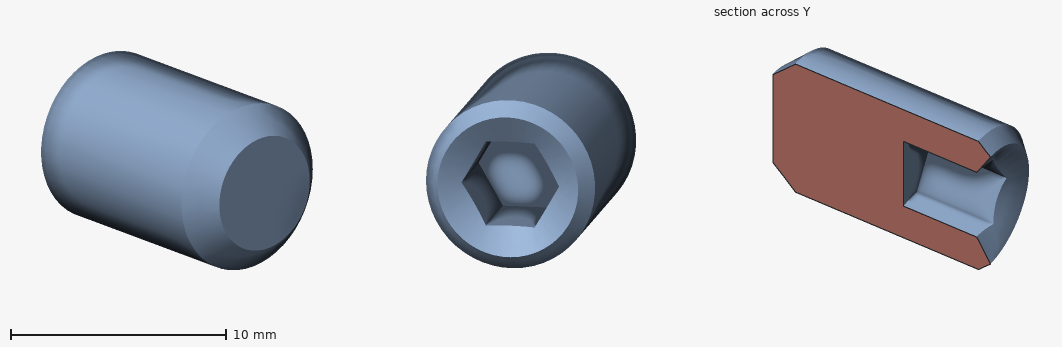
import cadquery as cq
import math

length = 12.0
diameter = 8.0
socket_chamfer = 0.67
point_chamfer = 1.25
hex_across_flats = 4.0
socket_depth = 4.8
countersink_slope = 30.0

radius = diameter / 2
mouth_radius = radius - socket_chamfer
countersink_depth = mouth_radius * math.tan(math.radians(countersink_slope))
hex_across_corners = hex_across_flats / math.cos(math.radians(30))


def body():
    """Cylinder with a small chamfer at the socket end and a larger one at the point."""
    cylinder = cq.Workplane("YZ").circle(radius).extrude(length)
    cylinder = cylinder.faces("<X").chamfer(socket_chamfer)
    return cylinder.faces(">X").chamfer(point_chamfer)


def hex_socket():
    """Blind hexagon with two corners on the Y axis and flats facing +Z and -Z."""
    return cq.Workplane("YZ").polygon(6, hex_across_corners).extrude(socket_depth)


def countersink():
    """Full cone whose base meets the inner edge of the socket-end chamfer."""
    return cq.Workplane(
        cq.Solid.makeCone(mouth_radius, 0, countersink_depth, cq.Vector(0, 0, 0), cq.Vector(1, 0, 0))
    )


result = body().cut(hex_socket()).cut(countersink())